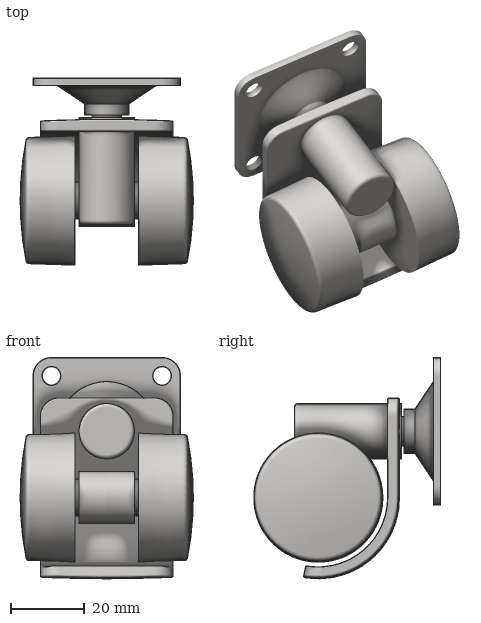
import cadquery as cq
import math


swivel_z = 18.0
plate_back_y = 33.2
plate_thickness = 2.0
cone_length = 5.0
neck_length = 3.0
barrel_back_y = 22.5
barrel_front_y = -6.5

plate_side = 39.95
plate_corner_radius = 5.0
hole_spacing = 30.0
hole_diameter = 5.0
cone_base_radius = 13.45
neck_radius = 6.0
stem_radius = 4.0

barrel_radius = 7.5
barrel_front_fillet = 1.0

bracket_width = 36.0
bracket_outer_radius = 22.0
bracket_thickness = 3.25
bracket_crown = 0.4
bracket_top_z = 27.0
bracket_corner_radius = 5.0
bracket_edge_fillet = 0.5
bend_sweep = 100.6

axle_radius = 5.0
collar_radius = 7.0
collar_length = 15.0

wheel_gap = 17.35
wheels_overall_width = 47.0
wheel_inner_radius = 17.5
wheel_outer_radius = 17.1
dome_height = 1.75
wheel_rim_fillet = 1.0


def swivel_disc(radius, back_y, length):
    """Cylinder on the swivel axis, reaching forward (-Y) from back_y."""
    return cq.Workplane("XZ", origin=(0, back_y, swivel_z)).circle(radius).extrude(length)


def make_mounting_plate():
    plate = (
        cq.Workplane("XZ", origin=(0, plate_back_y, swivel_z))
        .rect(plate_side, plate_side)
        .extrude(plate_thickness)
        .edges("|Y")
        .fillet(plate_corner_radius)
    )
    holes = (
        cq.Workplane("XZ", origin=(0, plate_back_y, swivel_z))
        .rect(hole_spacing, hole_spacing, forConstruction=True)
        .vertices()
        .circle(hole_diameter / 2)
        .extrude(plate_thickness)
    )
    cone_back_y = plate_back_y - plate_thickness
    neck_back_y = cone_back_y - cone_length
    stem_back_y = neck_back_y - neck_length
    cone = cq.Workplane(
        cq.Solid.makeCone(
            cone_base_radius,
            neck_radius,
            cone_length,
            pnt=cq.Vector(0, cone_back_y, swivel_z),
            dir=cq.Vector(0, -1, 0),
        )
    )
    neck = swivel_disc(neck_radius, neck_back_y, neck_length)
    stem = swivel_disc(stem_radius, stem_back_y, stem_back_y - barrel_back_y)
    return plate.cut(holes).union(cone).union(neck).union(stem)


def make_barrel():
    barrel = swivel_disc(barrel_radius, barrel_back_y, barrel_back_y - barrel_front_y)
    return barrel.faces("<Y").edges().fillet(barrel_front_fillet)


def bracket_section():
    """Cross-section in the XY plane: flat towards the wheels, crowned on the outside."""
    half_width = bracket_width / 2
    inner_y = bracket_outer_radius - bracket_thickness
    side_y = bracket_outer_radius - bracket_crown
    return (
        cq.Workplane("XY")
        .moveTo(-half_width, inner_y)
        .lineTo(-half_width, side_y)
        .threePointArc((0, bracket_outer_radius), (half_width, side_y))
        .lineTo(half_width, inner_y)
        .close()
    )


def make_bracket():
    upright = bracket_section().extrude(bracket_top_z)
    bend = bracket_section().revolve(bend_sweep, (0, 0, 0), (-1, 0, 0))
    strip = upright.union(bend)

    bend_angle = math.radians(bend_sweep)
    end_direction = cq.Vector(0, math.cos(bend_angle), -math.sin(bend_angle))
    end_corners = cq.selectors.ParallelDirSelector(end_direction)
    strip = strip.faces(">Z").edges("|Y").fillet(bracket_corner_radius)
    strip = strip.edges(end_corners).fillet(bracket_corner_radius)

    for top_edge in (">Y", "<Y"):
        strip = strip.faces(">Z").edges(top_edge).fillet(bracket_edge_fillet)

    barrel_hole = swivel_disc(barrel_radius, barrel_back_y, barrel_back_y)
    return strip.cut(barrel_hole)


def make_axle():
    journals = cq.Workplane("YZ").circle(axle_radius).extrude(wheel_gap / 2, both=True)
    collar = cq.Workplane("YZ").circle(collar_radius).extrude(collar_length / 2, both=True)
    return journals.union(collar)


def make_wheel(side):
    """Slightly tapered wheel with a domed outer face; side is -1 or +1 along X."""
    inner_x = wheel_gap / 2
    tip_x = wheels_overall_width / 2
    rim_x = tip_x - dome_height
    dome_radius = (wheel_outer_radius**2 + dome_height**2) / (2 * dome_height)
    half_angle = math.asin(wheel_outer_radius / dome_radius) / 2
    dome_middle = (
        tip_x - dome_radius * (1 - math.cos(half_angle)),
        dome_radius * math.sin(half_angle),
    )
    wheel = (
        cq.Workplane("XY")
        .moveTo(inner_x, 0)
        .lineTo(inner_x, wheel_inner_radius)
        .lineTo(rim_x, wheel_outer_radius)
        .threePointArc(dome_middle, (tip_x, 0))
        .close()
        .revolve(360, (0, 0, 0), (1, 0, 0))
    )
    rim = cq.selectors.RadiusNthSelector(0)
    wheel = wheel.edges("%CIRCLE").edges(rim).fillet(wheel_rim_fillet)
    if side < 0:
        wheel = wheel.mirror("YZ")
    return wheel


mounting_plate = make_mounting_plate()
barrel = make_barrel()
bracket = make_bracket()
axle = make_axle()
wheels = [make_wheel(side) for side in (-1, 1)]

result = cq.Compound.makeCompound(
    [body.solids().val() for body in (mounting_plate, barrel, bracket, axle, *wheels)]
)